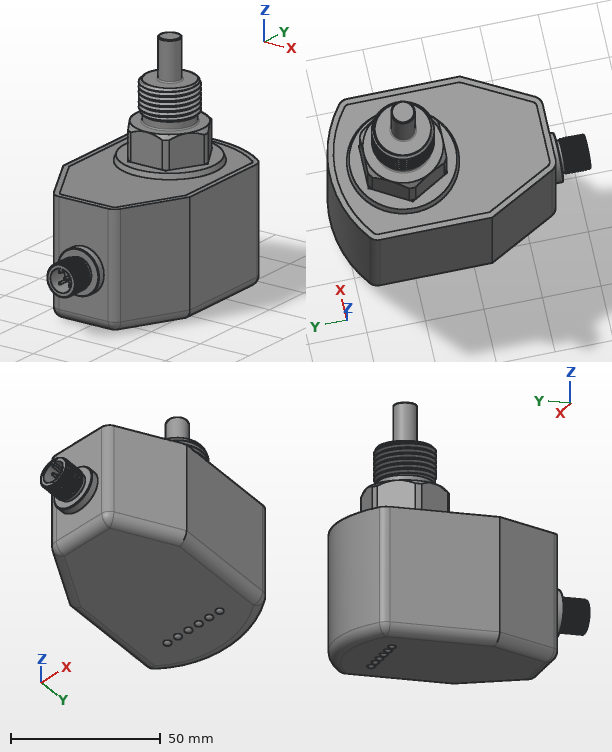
import cadquery as cq
import math


HOUSING_WIDTH = 52.0
HOUSING_HEIGHT = 44.2
BACK_Y = 25.0
BACK_ARC_RADIUS = 40.0
TAPER_START_Y = -25.0
FRONT_Y = -50.0
FRONT_WIDTH = 25.0
EDGE_RADIUS = 4.0
RIM_WIDTH = 2.05

DOME_COUNT = 6
DOME_SPACING = 4.6
DOME_Y = 8.2
DOME_RADIUS = 1.7
DOME_PROJECTION = 0.8

COVER_THICKNESS = RIM_WIDTH
FLANGE_DIAMETER = 37.7
FLANGE_TOP_DIAMETER = 36.1
FLANGE_HEIGHT = 2.0

HEX_ACROSS_FLATS = 27.0
HEX_TURNED_DIAMETER = 29.9
HEX_CHAMFER = 1.5
HEX_TOP_Z = 14.1
FITTING_THREAD_DIAMETER = 21.0
FITTING_CORE_DIAMETER = 18.7
FITTING_THREAD_PITCH = 1.8
FITTING_THREAD_BOTTOM_Z = 17.1
FITTING_TOP_Z = 29.1
FITTING_THREAD_TURN = -18.0
PROBE_DIAMETER = 8.0
PROBE_TOP_Z = 44.3
PROBE_CHAMFER = 0.4
ROOT_FILLET = 0.45

CONNECTOR_Z = -24.0
CONNECTOR_LENGTH = 12.95
COLLAR_DIAMETER = 17.0
COLLAR_LENGTH = 3.0
COLLAR_CHAMFER = 0.3
PLUG_THREAD_DIAMETER = 12.0
PLUG_CORE_DIAMETER = 11.1
PLUG_THREAD_PITCH = 1.0
PLUG_THREAD_START = 4.3
PLUG_THREAD_TURN = -65.0
BORE_DIAMETER = 8.6
BORE_DEPTH = 8.0
KEY_WIDTH = 1.1
KEY_DEPTH = 1.3
PIN_DIAMETER = 0.9
PIN_OFFSET = 2.05
PIN_RECESS = 2.0
PIN_CHAMFER = 0.2

GROOVE_WIDTH_RATIO = 0.95
GROOVE_OVERRUN = 0.1
TRIM_MARGIN = 0.9
END_LAND = 0.1


def cylinder(diameter, bottom, top):
    """Cylinder about the Z axis between two heights."""
    return cq.Workplane("XY").workplane(offset=bottom).circle(diameter / 2).extrude(top - bottom)


def helix_groove(root_radius, crest_radius, pitch, bottom, height, turn):
    """Helical groove of V section that opens outward past the crest."""
    mouth_half = GROOVE_WIDTH_RATIO * pitch / 2
    mouth_radius = crest_radius + GROOVE_OVERRUN
    path = cq.Wire.makeHelix(pitch, height, crest_radius)
    section = (
        cq.Workplane("XZ")
        .moveTo(root_radius, 0)
        .lineTo(mouth_radius, -mouth_half)
        .lineTo(mouth_radius, mouth_half)
        .close()
    )
    groove = section.sweep(cq.Workplane(obj=path), isFrenet=True)
    return groove.rotate((0, 0, 0), (0, 0, 1), turn).translate((0, 0, bottom))


def threaded_rod(root_diameter, crest_diameter, pitch, bottom, top, turn):
    """Rod bevelled at both ends, with a right-hand thread along its whole length."""
    groove_length = top - bottom + 2 * pitch
    groove = helix_groove(root_diameter / 2, crest_diameter / 2, pitch, bottom - pitch, groove_length, turn)
    long_rod = cylinder(crest_diameter, bottom - 2 * pitch, top + 2 * pitch).cut(groove)
    bevel = (crest_diameter - root_diameter) / 2 - END_LAND + TRIM_MARGIN
    trim = cylinder(crest_diameter + 2 * TRIM_MARGIN, bottom, top).faces("<Z or >Z").chamfer(bevel)
    return long_rod.intersect(trim)


def housing_outline():
    """Plan of the housing: an arched back, straight sides and a tapered front."""
    half_width = HOUSING_WIDTH / 2
    half_front = FRONT_WIDTH / 2
    arc_center_y = BACK_Y - BACK_ARC_RADIUS
    arc_end_y = arc_center_y + math.sqrt(BACK_ARC_RADIUS**2 - half_width**2)
    return (
        cq.Workplane("XY")
        .moveTo(half_width, arc_end_y)
        .threePointArc((0, BACK_Y), (-half_width, arc_end_y))
        .lineTo(-half_width, TAPER_START_Y)
        .lineTo(-half_front, FRONT_Y)
        .lineTo(half_front, FRONT_Y)
        .lineTo(half_width, TAPER_START_Y)
        .close()
    )


def rounded_block(height):
    """Housing outline, with its back and front corners rounded, extruded down from Z = 0."""
    block = housing_outline().extrude(-height)
    corners = block.edges("|Z").filter(lambda edge: abs(edge.Center().y - TAPER_START_Y) > EDGE_RADIUS)
    return block.newObject(corners.vals()).fillet(EDGE_RADIUS)


def make_cover_plate():
    """Plate that fills the top of the housing inside its rim."""
    outline = rounded_block(COVER_THICKNESS).faces(">Z").wires().val()
    inset = outline.offset2D(-RIM_WIDTH)
    return cq.Workplane(obj=inset[0]).toPending().extrude(-COVER_THICKNESS)


def make_housing(cover_plate):
    body = rounded_block(HOUSING_HEIGHT).faces("<Z").edges().fillet(EDGE_RADIUS)
    dome_center_z = -HOUSING_HEIGHT - DOME_PROJECTION + DOME_RADIUS
    for index in range(DOME_COUNT):
        dome_x = (index - (DOME_COUNT - 1) / 2) * DOME_SPACING
        body = body.union(cq.Workplane("XY").sphere(DOME_RADIUS).translate((dome_x, DOME_Y, dome_center_z)))
    return body.cut(cover_plate)


def hexagon(bottom, top):
    """Hexagonal prism with two flats facing along Y."""
    corner_diameter = HEX_ACROSS_FLATS / math.cos(math.radians(30))
    return cq.Workplane("XY").workplane(offset=bottom).polygon(6, corner_diameter).extrude(top - bottom)


def make_cover(cover_plate):
    """Cover plate with a tapered flange that has a hexagonal socket."""
    flange = cq.Solid.makeCone(FLANGE_DIAMETER / 2, FLANGE_TOP_DIAMETER / 2, FLANGE_HEIGHT)
    return cover_plate.union(cq.Workplane(obj=flange)).cut(hexagon(0, FLANGE_HEIGHT))


def root_fillet(diameter, z):
    """Concave ring that blends a cylinder into the flat face at height z."""
    radius = diameter / 2
    outer = radius + ROOT_FILLET
    diagonal = ROOT_FILLET * (1 - math.sqrt(0.5))
    return (
        cq.Workplane("XZ")
        .moveTo(0, z)
        .lineTo(outer, z)
        .threePointArc((radius + diagonal, z + diagonal), (radius, z + ROOT_FILLET))
        .lineTo(0, z + ROOT_FILLET)
        .close()
        .revolve(360, (0, 0), (0, 1))
    )


def make_fitting():
    """Hexagon seated in the flange, neck, thread and plain probe."""
    turned = cylinder(HEX_TURNED_DIAMETER, FLANGE_HEIGHT, HEX_TOP_Z).faces(">Z").chamfer(HEX_CHAMFER)
    body = hexagon(0, FLANGE_HEIGHT).union(hexagon(FLANGE_HEIGHT, HEX_TOP_Z).intersect(turned))
    neck = cylinder(FITTING_CORE_DIAMETER, HEX_TOP_Z, FITTING_THREAD_BOTTOM_Z)
    thread = threaded_rod(
        FITTING_CORE_DIAMETER,
        FITTING_THREAD_DIAMETER,
        FITTING_THREAD_PITCH,
        FITTING_THREAD_BOTTOM_Z,
        FITTING_TOP_Z,
        FITTING_THREAD_TURN,
    )
    probe = cylinder(PROBE_DIAMETER, FITTING_TOP_Z, PROBE_TOP_Z).faces(">Z").chamfer(PROBE_CHAMFER)
    body = body.union(neck).union(root_fillet(FITTING_CORE_DIAMETER, HEX_TOP_Z))
    body = body.union(thread)
    return body.union(probe).union(root_fillet(PROBE_DIAMETER, FITTING_TOP_Z))


def make_connector():
    """Keyed five-pin plug, built along +Z and then laid against the front face."""
    bore_floor = CONNECTOR_LENGTH - BORE_DEPTH
    bore_radius = BORE_DIAMETER / 2
    collar = cylinder(COLLAR_DIAMETER, 0, COLLAR_LENGTH).faces(">Z").chamfer(COLLAR_CHAMFER)
    neck = cylinder(PLUG_CORE_DIAMETER, COLLAR_LENGTH, PLUG_THREAD_START)
    thread = threaded_rod(
        PLUG_CORE_DIAMETER,
        PLUG_THREAD_DIAMETER,
        PLUG_THREAD_PITCH,
        PLUG_THREAD_START,
        CONNECTOR_LENGTH,
        PLUG_THREAD_TURN,
    )
    key = (
        cq.Workplane("XY")
        .box(KEY_WIDTH, KEY_DEPTH, BORE_DEPTH, centered=(True, False, False))
        .translate((0, bore_radius - KEY_DEPTH, bore_floor))
    )
    bore = cylinder(BORE_DIAMETER, bore_floor, CONNECTOR_LENGTH).cut(key)
    body = collar.union(neck).union(thread).cut(bore)

    pin_places = [(0, 0)]
    pin_places += [(x, y) for x in (-PIN_OFFSET, PIN_OFFSET) for y in (-PIN_OFFSET, PIN_OFFSET)]
    pin = cylinder(PIN_DIAMETER, bore_floor, CONNECTOR_LENGTH - PIN_RECESS).faces(">Z").chamfer(PIN_CHAMFER)
    for x, y in pin_places:
        body = body.union(pin.translate((x, y, 0)))
    return body.rotate((0, 0, 0), (1, 0, 0), 90).translate((0, FRONT_Y, CONNECTOR_Z))


cover_plate = make_cover_plate()
housing = make_housing(cover_plate)
cover = make_cover(cover_plate)
fitting = make_fitting()
connector = make_connector()

result = cq.Compound.makeCompound([housing.val(), cover.val(), fitting.val(), connector.val()])